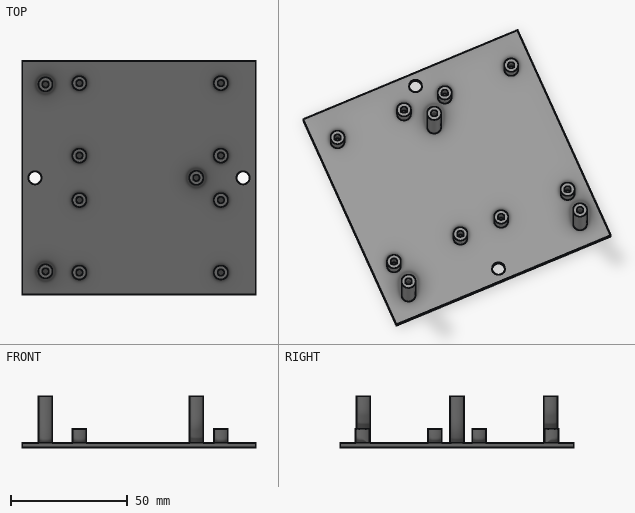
import cadquery as cq

plate_side = 100.0
plate_thickness = 2.0

post_diameter = 6.0
bore_diameter = 2.8
tall_post_height = 20.0
short_post_height = 6.0

tall_pair_x = -40.0
tall_pair_y = 40.0
tall_single_x = 24.5
tall_positions = [
    (tall_pair_x, tall_pair_y),
    (tall_pair_x, -tall_pair_y),
    (tall_single_x, 0),
]

short_columns_x = (-25.5, 35.0)
short_inner_y = 9.5
short_outer_y = 40.5
short_rows_y = (-short_outer_y, -short_inner_y, short_inner_y, short_outer_y)
short_positions = [(x, y) for x in short_columns_x for y in short_rows_y]

mount_hole_diameter = 5.5
mount_hole_x = 44.5


def make_posts(positions, height):
    """Tubes standing on the plate, bored down to its upper face."""
    return (
        cq.Workplane("XY", origin=(0, 0, plate_thickness))
        .pushPoints(positions)
        .circle(post_diameter / 2)
        .circle(bore_diameter / 2)
        .extrude(height)
    )


plate = (
    cq.Workplane("XY")
    .rect(plate_side, plate_side)
    .extrude(plate_thickness)
    .faces(">Z")
    .workplane()
    .pushPoints([(-mount_hole_x, 0), (mount_hole_x, 0)])
    .hole(mount_hole_diameter)
)

tall_posts = make_posts(tall_positions, tall_post_height)
short_posts = make_posts(short_positions, short_post_height)

result = plate.union(tall_posts).union(short_posts)